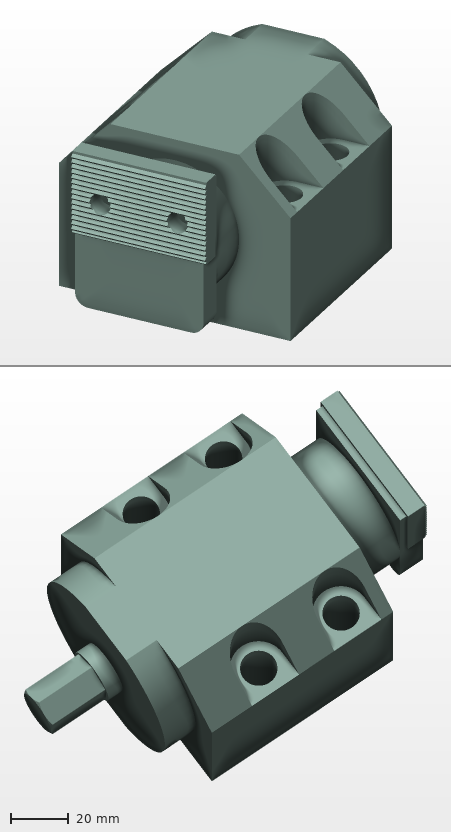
import cadquery as cq
import math


housing_width = 90.0
housing_length = 77.0
housing_height = 68.0
bevel = 20.0
shoulder_height = housing_height - bevel

axis_height = 35.0

flange_diameter = 70.4
flange_thickness = 13.0
flange_half_height = housing_height - axis_height

mount_hole_diameter = 13.0
mount_recess_width = 20.0
mount_x = housing_width / 2 - mount_recess_width / 2
mount_first_y = 15.0
mount_spacing = 35.0
mount_ys = [mount_first_y, mount_first_y + mount_spacing]

collar_diameter = 20.0
collar_length = 6.0
hex_sides = 6
hex_across_flats = 16.0
hex_across_corners = hex_across_flats / math.cos(math.pi / hex_sides)
hex_length = 23.1
hex_chamfer_angle = 30
corner_up_turn = 90

barrel_diameter = 50.0
barrel_length = 17.2
head_width = barrel_diameter
head_thickness = 9.7
head_corner_radius = 5.0
head_bottom = axis_height - barrel_diameter / 2
head_top = housing_height
head_front = -(barrel_length + head_thickness)

jaw_width = 52.0
jaw_height = 32.0
jaw_thickness = 7.0
jaw_top = 70.0
jaw_bottom = jaw_top - jaw_height
jaw_back = head_front + jaw_thickness
screw_hole_diameter = 8.0
screw_hole_spacing = 30.0
screw_hole_height = 51.9

tooth_count = 15
tooth_pitch = jaw_height / (tooth_count + 1)
tooth_depth = tooth_pitch / 2


def axial_plane(y):
    """Plane across the common axis at the given Y; its normal points to the rear (+Y)."""
    return cq.Plane(origin=(0, y, axis_height), xDir=(-1, 0, 0), normal=(0, 1, 0))


def box_between(x_size, y_front, y_back, z_bottom, z_top):
    """Box centred on X = 0 between the given Y and Z limits."""
    return (
        cq.Workplane("XY", origin=(0, (y_front + y_back) / 2, z_bottom))
        .box(x_size, y_back - y_front, z_top - z_bottom, centered=(True, True, False))
    )


def make_block():
    """Housing block with both top side edges bevelled."""
    return (
        box_between(housing_width, 0, housing_length, 0, housing_height)
        .edges("|Y and >Z")
        .chamfer(bevel)
    )


def make_flange():
    """Round flange on the rear face, cut flat above and below the axis."""
    disc = (
        cq.Workplane(axial_plane(housing_length))
        .circle(flange_diameter / 2)
        .extrude(flange_thickness)
    )
    flats = (
        cq.Workplane(axial_plane(housing_length))
        .rect(flange_diameter, 2 * flange_half_height)
        .extrude(flange_thickness)
    )
    return disc.intersect(flats)


def make_spindle():
    """Round collar followed by a hexagon, corners up and down, with its free end chamfered."""
    collar_start = housing_length + flange_thickness
    hex_start = collar_start + collar_length
    collar = cq.Workplane(axial_plane(collar_start)).circle(collar_diameter / 2).extrude(collar_length)
    hexagon = (
        cq.Workplane(axial_plane(hex_start))
        .transformed(rotate=(0, 0, corner_up_turn))
        .polygon(hex_sides, hex_across_corners)
        .extrude(hex_length)
    )
    corner_depth = (hex_across_corners - hex_across_flats) / 2
    chamfer_length = corner_depth * math.tan(math.radians(hex_chamfer_angle))
    chamfered_envelope = (
        cq.Workplane(axial_plane(hex_start))
        .circle(hex_across_corners / 2)
        .extrude(hex_length)
        .faces(">Y")
        .chamfer(chamfer_length, corner_depth)
    )
    return collar.union(hexagon.intersect(chamfered_envelope))


def make_mount_cut(side, y):
    """Vertical through hole and its recess, round inside and open to the side (-1 or +1)."""
    x = side * mount_x
    hole = (
        cq.Workplane("XY", origin=(x, y, 0))
        .circle(mount_hole_diameter / 2)
        .extrude(housing_height)
    )
    round_end = (
        cq.Workplane("XY", origin=(x, y, shoulder_height))
        .circle(mount_recess_width / 2)
        .extrude(bevel)
    )
    opening = (
        cq.Workplane("XY", origin=(x + side * mount_recess_width / 2, y, shoulder_height))
        .rect(mount_recess_width, mount_recess_width)
        .extrude(bevel)
    )
    return hole.union(round_end).union(opening)


def make_housing():
    """Block, flange and spindle in one piece, with four mounting holes."""
    housing = make_block().union(make_flange()).union(make_spindle())
    for side in (-1, 1):
        for y in mount_ys:
            housing = housing.cut(make_mount_cut(side, y))
    return housing


def make_ram():
    """Barrel and head, with a step across the head that seats the jaw."""
    barrel = cq.Workplane(axial_plane(-barrel_length)).circle(barrel_diameter / 2).extrude(barrel_length)
    head = (
        box_between(head_width, head_front, -barrel_length, head_bottom, head_top)
        .edges("|Y and <Z")
        .fillet(head_corner_radius)
    )
    jaw_seat = box_between(jaw_width, head_front, jaw_back, jaw_bottom, jaw_top)
    return barrel.union(head).cut(jaw_seat)


def make_jaw():
    """Plate with two screw holes and horizontal teeth on its front face, the lowest half size."""
    first_root = jaw_top - tooth_pitch / 2
    profile = [(jaw_back, jaw_bottom), (jaw_back, jaw_top), (head_front, jaw_top), (head_front, first_root)]
    for tooth in range(tooth_count):
        root = first_root - tooth * tooth_pitch
        profile.append((head_front - tooth_depth, root - tooth_pitch / 2))
        profile.append((head_front, root - tooth_pitch))
    profile.append((head_front - tooth_depth / 2, jaw_bottom + tooth_pitch / 4))
    profile.append((head_front, jaw_bottom))
    plate = cq.Workplane("YZ").polyline(profile).close().extrude(jaw_width / 2, both=True)
    screw_holes = (
        cq.Workplane("XZ", origin=(0, jaw_back, screw_hole_height))
        .pushPoints([(-screw_hole_spacing / 2, 0), (screw_hole_spacing / 2, 0)])
        .circle(screw_hole_diameter / 2)
        .extrude(jaw_thickness + tooth_depth)
    )
    return plate.cut(screw_holes)


housing = make_housing()
ram = make_ram()
jaw = make_jaw()

result = cq.Compound.makeCompound([housing.solids().val(), ram.solids().val(), jaw.solids().val()])